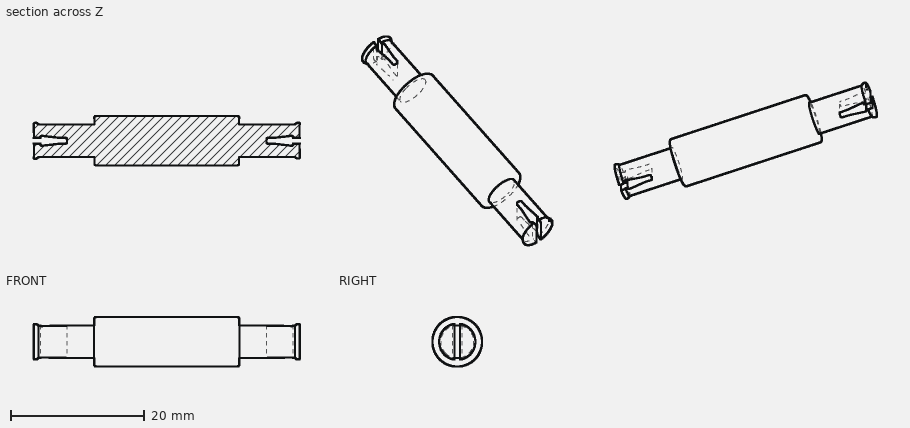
import cadquery as cq

total_length = 39.98
body_length = 21.8
body_diameter = 7.5
body_edge_radius = 0.35
pin_diameter = 4.95

rim_diameter = 5.45
rim_width = 0.72
rim_lead_radius = 0.22

slot_width = 0.86
slot_wide_width = 1.52
slot_step_depth = 1.0
slot_taper_end_depth = 3.8
slot_depth = 5.0
slot_floor_radius = 0.25
slot_step_radius = 0.25
slot_taper_end_radius = 3.0

half_length = total_length / 2
half_body = body_length / 2
body_radius = body_diameter / 2
pin_radius = pin_diameter / 2
rim_radius = rim_diameter / 2


def make_body():
    """Thick central cylinder with rounded end edges."""
    cylinder = cq.Workplane("YZ", origin=(-half_body, 0, 0)).circle(body_radius).extrude(body_length)
    return cylinder.edges().fillet(body_edge_radius)


def make_pin():
    """Pin on the +X side, revolved with a rounded rim that falls back to the pin in a longer arc."""
    crest_x = half_length - rim_lead_radius
    rim_back_x = half_length - rim_width
    rim_height = rim_radius - pin_radius
    back_length = crest_x - rim_back_x
    rim_back_radius = (back_length**2 + rim_height**2) / (2 * rim_height)
    profile = (
        cq.Workplane("XY")
        .lineTo(half_length, 0)
        .lineTo(half_length, rim_radius - rim_lead_radius)
        .radiusArc((crest_x, rim_radius), -rim_lead_radius)
        .radiusArc((rim_back_x, pin_radius), -rim_back_radius)
        .lineTo(0, pin_radius)
        .close()
    )
    return profile.revolve(360, (0, 0, 0), (1, 0, 0))


def upright_edges_at(x, width):
    """Selector for the two Z edges at the given X, spaced by width in Y."""
    reach = 0.01
    height = 2 * pin_diameter
    corner_boxes = [
        cq.selectors.BoxSelector((x - reach, y - reach, -height), (x + reach, y + reach, height))
        for y in (-width / 2, width / 2)
    ]
    return corner_boxes[0] + corner_boxes[1]


def make_slot():
    """Cutter for the +X slot: mouth, step out, taper back in, parallel run to the floor."""
    floor_x = half_length - slot_depth
    taper_end_x = half_length - slot_taper_end_depth
    step_x = half_length - slot_step_depth
    upper_side = [
        (floor_x, slot_width / 2),
        (taper_end_x, slot_width / 2),
        (step_x, slot_wide_width / 2),
        (step_x, slot_width / 2),
        (half_length, slot_width / 2),
    ]
    lower_side = [(x, -y) for x, y in reversed(upper_side)]
    cutter = cq.Workplane("XY").polyline(upper_side + lower_side).close().extrude(pin_diameter, both=True)
    corners = [
        (floor_x, slot_width, slot_floor_radius),
        (taper_end_x, slot_width, slot_taper_end_radius),
        (step_x, slot_wide_width, slot_step_radius),
    ]
    for corner_x, width, radius in corners:
        cutter = cutter.edges(upright_edges_at(corner_x, width)).fillet(radius)
    return cutter


pin = make_pin().cut(make_slot())
result = make_body().union(pin).union(pin.mirror("YZ"))